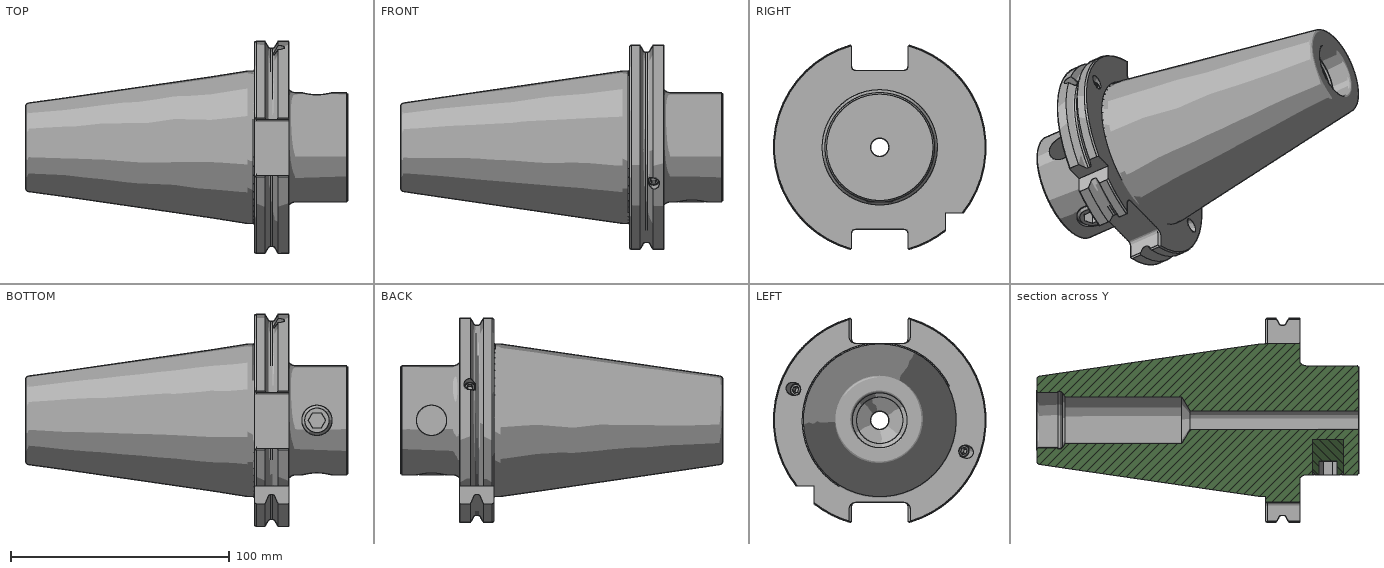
import cadquery as cq
import math


TOTAL_LENGTH = 147.6
GAUGE_X = 101.7
GAUGE_RADIUS = 35.0
TAPER_SLOPE = 7 / 48
TAPER_END_RADIUS = GAUGE_RADIUS - TAPER_SLOPE * GAUGE_X
TAPER_END_FILLET = 1.6

FLANGE_START_X = 104.8
FLANGE_END_X = 120.7
FLANGE_RADIUS = 48.7
FACE_FILLET = 0.6
FRONT_CHAMFER_LENGTH = 0.9
RIM_CHAMFER = 0.5
GROOVE_CENTER_X = 112.6
GROOVE_WIDTH = 6.0
GROOVE_ROOT_RADIUS = 45.5
GROOVE_WALL_ANGLE = 30.0
GROOVE_ROOT_FILLET = 1.0

NOSE_RADIUS = 25.1
NOSE_START_X = 123.5
NOSE_CHAMFER = 0.7
NOSE_FLARE_HEIGHT = 1.3

COUNTERBORE_RADIUS = 12.5
COUNTERBORE_DEPTH = 11.8
MOUTH_FILLET = 1.2
BORE_RADIUS = 10.6
SEAT_LENGTH = 1.2
BORE_DEPTH = 66.4
COOLANT_RADIUS = 4.1
DRILL_POINT_ANGLE = 59.0

RELIEF_START_X = 9.7
RELIEF_WIDTH = 1.5
RELIEF_RADIUS = 13.0

SLOT_WIDTH = 25.7
TOP_SLOT_FLOOR = 35.3
BOTTOM_SLOT_FLOOR = 37.6
SLOT_FLOOR_FILLET = 1.8
SLOT_FACE_CHAMFER = 1.2
SLOT_RIM_CHAMFER = 0.9
NOTCH_OFFSET = 30.1

PLUG_ANGLES = (20.0, 200.0)
CLAMP_SCREW_ANGLE = -90.0
OPEN_CROSS_HOLE_ANGLE = 0.0

FACE_PLUG_RADIUS = 3.0
FACE_HOLE_CIRCLE = 42.0
FACE_HOLE_TILT = 30.0
FACE_PLUG_RECESS = 2.0
FACE_PLUG_LENGTH = 5.2
RIM_PLUG_RADIUS = 2.7
RIM_HOLE_X = 115.9
RIM_PLUG_OUTER_RADIUS = 44.0
RIM_PLUG_LENGTH = 4.5
PLUG_CHAMFER = 0.5

CROSS_HOLE_X = 133.5
CROSS_HOLE_RADIUS = 7.0
CROSS_HOLE_DEPTH = 16.2
CLAMP_SCREW_CHAMFER = 1.3

SOCKET_WIDTH_RATIO = 1.0
SOCKET_DEPTH_RATIO = 0.9

CLEARANCE = 7.4


def revolve_about_x(profile):
    """Revolve a closed (x, radius) profile drawn on the XZ plane about the X axis."""
    return profile.close().revolve(360, (0, 0, 0), (1, 0, 0))


def outer_body():
    arc_angle = 2 * math.atan(NOSE_FLARE_HEIGHT / (NOSE_START_X - FLANGE_END_X))
    arc_radius = (NOSE_START_X - FLANGE_END_X) / math.sin(arc_angle)
    flare_mid = (
        NOSE_START_X - arc_radius * math.sin(arc_angle / 2),
        NOSE_RADIUS + arc_radius * (1 - math.cos(arc_angle / 2)),
    )
    profile = (
        cq.Workplane("XZ")
        .moveTo(0, 0)
        .lineTo(0, TAPER_END_RADIUS)
        .lineTo(GAUGE_X, GAUGE_RADIUS)
        .lineTo(FLANGE_START_X - FACE_FILLET, GAUGE_RADIUS)
        .radiusArc((FLANGE_START_X, GAUGE_RADIUS + FACE_FILLET), -FACE_FILLET)
        .lineTo(FLANGE_START_X, FLANGE_RADIUS - RIM_CHAMFER)
        .lineTo(FLANGE_START_X + FRONT_CHAMFER_LENGTH, FLANGE_RADIUS)
        .lineTo(FLANGE_END_X - RIM_CHAMFER, FLANGE_RADIUS)
        .lineTo(FLANGE_END_X, FLANGE_RADIUS - RIM_CHAMFER)
        .lineTo(FLANGE_END_X, NOSE_RADIUS + NOSE_FLARE_HEIGHT)
        .threePointArc(flare_mid, (NOSE_START_X, NOSE_RADIUS))
        .lineTo(TOTAL_LENGTH - NOSE_CHAMFER, NOSE_RADIUS)
        .lineTo(TOTAL_LENGTH, NOSE_RADIUS - NOSE_CHAMFER)
        .lineTo(TOTAL_LENGTH, 0)
    )
    return revolve_about_x(profile).faces("<X").edges().fillet(TAPER_END_FILLET)


def groove_cutter():
    """Ring with a trapezoidal section and rounded root corners."""
    slope = math.tan(math.radians(GROOVE_WALL_ANGLE))
    top_radius = FLANGE_RADIUS + CLEARANCE
    half_root = GROOVE_WIDTH / 2 - (FLANGE_RADIUS - GROOVE_ROOT_RADIUS) * slope
    half_top = GROOVE_WIDTH / 2 + CLEARANCE * slope
    profile = (
        cq.Workplane("XZ")
        .moveTo(GROOVE_CENTER_X - half_top, top_radius)
        .lineTo(GROOVE_CENTER_X - half_root, GROOVE_ROOT_RADIUS)
        .lineTo(GROOVE_CENTER_X + half_root, GROOVE_ROOT_RADIUS)
        .lineTo(GROOVE_CENTER_X + half_top, top_radius)
    )
    root_corners = cq.selectors.RadiusNthSelector(0)
    return revolve_about_x(profile).edges(root_corners).fillet(GROOVE_ROOT_FILLET)


def bore_cutter():
    point_length = (BORE_RADIUS - COOLANT_RADIUS) / math.tan(math.radians(DRILL_POINT_ANGLE))
    profile = (
        cq.Workplane("XZ")
        .moveTo(0, 0)
        .lineTo(0, COUNTERBORE_RADIUS + MOUTH_FILLET)
        .radiusArc((MOUTH_FILLET, COUNTERBORE_RADIUS), -MOUTH_FILLET)
        .lineTo(RELIEF_START_X, COUNTERBORE_RADIUS)
        .lineTo(RELIEF_START_X, RELIEF_RADIUS)
        .lineTo(RELIEF_START_X + RELIEF_WIDTH, RELIEF_RADIUS)
        .lineTo(RELIEF_START_X + RELIEF_WIDTH, COUNTERBORE_RADIUS)
        .lineTo(COUNTERBORE_DEPTH, COUNTERBORE_RADIUS)
        .lineTo(COUNTERBORE_DEPTH + SEAT_LENGTH, BORE_RADIUS)
        .lineTo(BORE_DEPTH, BORE_RADIUS)
        .lineTo(BORE_DEPTH + point_length, COOLANT_RADIUS)
        .lineTo(TOTAL_LENGTH, COOLANT_RADIUS)
        .lineTo(TOTAL_LENGTH, 0)
    )
    return revolve_about_x(profile)


def slot_outline(widening):
    """Slot section with rounded floor corners, each wall moved out by widening; the floor is Z = 0."""
    width = SLOT_WIDTH + 2 * widening
    height = FLANGE_RADIUS
    return (
        cq.Sketch()
        .push([(0, height / 2)])
        .rect(width, height)
        .reset()
        .vertices("<Y")
        .fillet(SLOT_FLOOR_FILLET + widening)
    )


def slot_cutter(floor):
    """Drive slot open towards +Z, with chamfered walls at the taper-side face and at the rim."""
    half_width = SLOT_WIDTH / 2
    bevel_z = math.sqrt(FLANGE_RADIUS**2 - half_width**2) - SLOT_RIM_CHAMFER
    start_x = FLANGE_START_X - FACE_FILLET
    slot_length = FLANGE_END_X - start_x
    start_plane = cq.Workplane("YZ", origin=(start_x, 0, 0))

    slot = start_plane.center(0, floor).placeSketch(slot_outline(0)).extrude(slot_length)
    face_bevel = (
        cq.Workplane("YZ", origin=(FLANGE_START_X, 0, floor))
        .placeSketch(
            slot_outline(SLOT_FACE_CHAMFER),
            slot_outline(0).moved(cq.Location(cq.Vector(0, 0, FRONT_CHAMFER_LENGTH))),
        )
        .loft()
    )
    rim_bevel = (
        start_plane.moveTo(half_width, bevel_z)
        .line(CLEARANCE, CLEARANCE)
        .hLineTo(-half_width - CLEARANCE)
        .lineTo(-half_width, bevel_z)
        .close()
        .extrude(slot_length)
    )
    return slot.union(face_bevel).union(rim_bevel)


def notch_cutter():
    """Square orientation notch in the +Y, -Z part of the flange."""
    return (
        cq.Workplane("YZ", origin=(FLANGE_START_X, 0, 0))
        .moveTo(NOTCH_OFFSET, -NOTCH_OFFSET)
        .rect(FLANGE_RADIUS, -FLANGE_RADIUS, centered=False)
        .extrude(FLANGE_END_X - FLANGE_START_X)
    )


def face_hole_plane(angle, depth):
    """Plane across a tilted face hole, facing back out of it, at a depth along its axis."""
    tilt = math.radians(FACE_HOLE_TILT)
    around = math.radians(angle)
    radius = FACE_HOLE_CIRCLE - depth * math.sin(tilt)
    outward = (
        -math.cos(tilt),
        math.sin(tilt) * math.cos(around),
        math.sin(tilt) * math.sin(around),
    )
    x = FLANGE_START_X + depth * math.cos(tilt)
    origin = (x, radius * math.cos(around), radius * math.sin(around))
    side = (0, -math.sin(around), math.cos(around))
    return cq.Plane(origin=origin, xDir=side, normal=outward)


def radial_plane(angle, x, radius):
    """Plane facing away from the X axis, at a given place and angle around it."""
    around = math.radians(angle)
    outward = (0, math.cos(around), math.sin(around))
    origin = (x, radius * outward[1], radius * outward[2])
    return cq.Plane(origin=origin, xDir=(1, 0, 0), normal=outward)


def set_screw(head_plane, radius, length, chamfer):
    """Headless screw with a hex socket; its outer end lies on head_plane."""
    socket_diameter = SOCKET_WIDTH_RATIO * radius / math.cos(math.pi / 6)
    socket = cq.Workplane(head_plane).polygon(6, socket_diameter).extrude(-SOCKET_DEPTH_RATIO * radius)
    blank = cq.Solid.makeCone(
        radius - chamfer, radius, chamfer, head_plane.origin, head_plane.zDir * -1
    )
    shank = cq.Workplane(head_plane).workplane(offset=-chamfer).circle(radius).extrude(chamfer - length)
    return shank.union(cq.Workplane(blank)).cut(socket)


def hole_cutter(head_plane, radius, length, reach):
    """Round hole that holds a screw of this length and runs outwards by reach."""
    return cq.Workplane(head_plane).workplane(offset=-length).circle(radius).extrude(length + reach)


face_planes = [face_hole_plane(angle, FACE_PLUG_RECESS) for angle in PLUG_ANGLES]
rim_planes = [radial_plane(angle, RIM_HOLE_X, RIM_PLUG_OUTER_RADIUS) for angle in PLUG_ANGLES]
clamp_plane = radial_plane(CLAMP_SCREW_ANGLE, CROSS_HOLE_X, NOSE_RADIUS)
open_hole_plane = radial_plane(OPEN_CROSS_HOLE_ANGLE, CROSS_HOLE_X, NOSE_RADIUS)

holder = outer_body().cut(groove_cutter()).cut(bore_cutter())
holder = holder.cut(slot_cutter(TOP_SLOT_FLOOR))
holder = holder.cut(slot_cutter(BOTTOM_SLOT_FLOOR).rotate((0, 0, 0), (1, 0, 0), 180))
holder = holder.cut(notch_cutter())
for plane in face_planes:
    holder = holder.cut(hole_cutter(plane, FACE_PLUG_RADIUS, FACE_PLUG_LENGTH, CLEARANCE))
for plane in rim_planes:
    holder = holder.cut(hole_cutter(plane, RIM_PLUG_RADIUS, RIM_PLUG_LENGTH, CLEARANCE))
for plane in (clamp_plane, open_hole_plane):
    holder = holder.cut(hole_cutter(plane, CROSS_HOLE_RADIUS, CROSS_HOLE_DEPTH, CLEARANCE))

face_plugs = [set_screw(p, FACE_PLUG_RADIUS, FACE_PLUG_LENGTH, PLUG_CHAMFER) for p in face_planes]
rim_plugs = [set_screw(p, RIM_PLUG_RADIUS, RIM_PLUG_LENGTH, PLUG_CHAMFER) for p in rim_planes]
clamp_screw = set_screw(clamp_plane, CROSS_HOLE_RADIUS, CROSS_HOLE_DEPTH, CLAMP_SCREW_CHAMFER)

result = cq.Compound.makeCompound([
    holder.val(),
    *[plug.val() for plug in face_plugs],
    *[plug.val() for plug in rim_plugs],
    clamp_screw.val(),
])